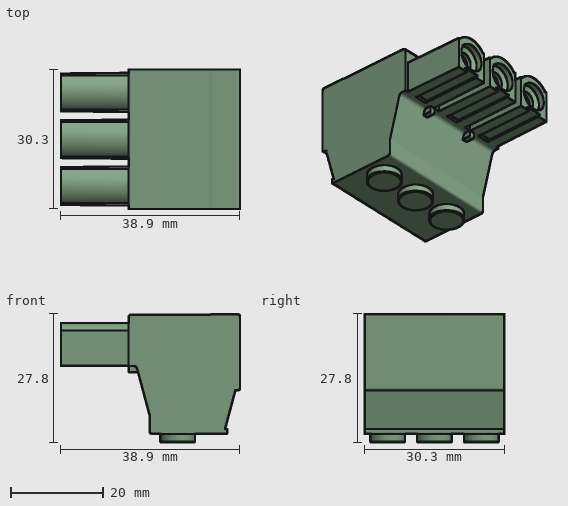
import cadquery as cq
import math


pole_count = 3
pole_pitch = 10.16
end_margin = 5.0
housing_width = (pole_count - 1) * pole_pitch + 2 * end_margin

housing_length = 24.2
housing_height = 26.0
top_step_height = 0.1
top_step_start = 17.65
top_step_end = 18.1
overhang_z = 14.8
foot_front_x = 4.54
foot_knee_z = 4.05
flank_angle = 15.0
rear_ledge_x = 23.2
rear_ledge_z = 9.45
lip_x = 21.45
lip_height = 1.1
corner_radius = 0.6
ledge_radius = 0.5
lip_radius = 0.3
overhang_radius = 0.9

key_offset = 6.4
key_width = 1.3
key_depth = 1.45
key_radius = 0.3

plug_length = 14.7
plug_axis_z = 19.3
plug_crown_radius = 4.83
plug_shoulder_z = 22.4
plug_mouth_half_width = 4.13
plug_root_half_width = 4.28

mouth_radius = 3.24
mouth_depth = 1.4
bore_radius = 1.97
cone_depth = 0.6
bore_depth = 1.0

groove_top_width = 4.0
groove_mouth_width = 3.0
groove_depth = 0.8

screw_radius = 3.8
screw_height = 1.8
screw_chamfer = 0.2
screw_x = 10.65

flank_slope = math.tan(math.radians(flank_angle))
overhang_corner_x = foot_front_x - (overhang_z - foot_knee_z) * flank_slope
pole_positions = [(i - (pole_count - 1) / 2) * pole_pitch for i in range(pole_count)]


def round_edge(body, x, z, radius):
    """Round the edge parallel to Y that passes through (x, z)."""
    tolerance = 0.01
    box = cq.selectors.BoxSelector(
        (x - tolerance, -housing_width, z - tolerance),
        (x + tolerance, housing_width, z + tolerance),
    )
    return body.edges("|Y").edges(box).fillet(radius)


def make_housing():
    """Housing: one side profile extruded over the full width, with rounded corners."""
    low_top_z = housing_height - top_step_height
    notch_x = rear_ledge_x - (rear_ledge_z - lip_height) * flank_slope
    profile = [
        (0, overhang_z),
        (0, low_top_z),
        (top_step_start, low_top_z),
        (top_step_end, housing_height),
        (housing_length, housing_height),
        (housing_length, rear_ledge_z),
        (rear_ledge_x, rear_ledge_z),
        (notch_x, lip_height),
        (lip_x, lip_height),
        (lip_x, 0),
        (foot_front_x, 0),
        (foot_front_x, foot_knee_z),
        (overhang_corner_x, overhang_z),
    ]
    housing = cq.Workplane("XZ").polyline(profile).close().extrude(housing_width / 2, both=True)
    rounded_corners = [
        (0, low_top_z, corner_radius),
        (housing_length, housing_height, corner_radius),
        (housing_length, rear_ledge_z, ledge_radius),
        (lip_x, lip_height, lip_radius),
        (lip_x, 0, lip_radius),
        (foot_front_x, 0, corner_radius),
        (overhang_corner_x, overhang_z, overhang_radius),
    ]
    for x, z, radius in rounded_corners:
        housing = round_edge(housing, x, z, radius)
    return housing


def make_key(y):
    """Small block filling the corner between the overhang and the front flank."""
    bottom_z = overhang_z - key_depth
    bottom_back_x = overhang_corner_x + key_depth * flank_slope
    profile = [
        (0, overhang_z),
        (0, bottom_z),
        (bottom_back_x, bottom_z),
        (overhang_corner_x + overhang_radius, overhang_z),
    ]
    key = cq.Workplane("XZ").polyline(profile).close().extrude(key_width / 2, both=True)
    return round_edge(key, 0, bottom_z, key_radius).translate((0, y, 0))


def make_plug(y):
    """Plug: a block with drafted sides under a round crown, running from the mouth into the housing face."""
    sides = [
        (-plug_length, -plug_mouth_half_width),
        (0, -plug_root_half_width),
        (0, plug_root_half_width),
        (-plug_length, plug_mouth_half_width),
    ]
    block = cq.Workplane("XY").workplane(offset=overhang_z).polyline(sides).close()
    block = block.extrude(plug_shoulder_z - overhang_z)
    crown_half_width = math.sqrt(plug_crown_radius**2 - (plug_shoulder_z - plug_axis_z) ** 2)
    crown = (
        cq.Workplane("YZ", origin=(-plug_length, 0, 0))
        .moveTo(-crown_half_width, plug_shoulder_z)
        .threePointArc((0, plug_axis_z + plug_crown_radius), (crown_half_width, plug_shoulder_z))
        .close()
        .extrude(plug_length)
    )
    return block.union(crown).translate((0, y, 0))


def make_bore(y):
    """Blind bore of a plug: wide mouth, cone, then a narrow bore with a flat floor."""
    cone_start = mouth_depth - plug_length
    cone_end = cone_start + cone_depth
    floor_x = cone_end + bore_depth
    half_section = [
        (-plug_length, 0),
        (-plug_length, mouth_radius),
        (cone_start, mouth_radius),
        (cone_end, bore_radius),
        (floor_x, bore_radius),
        (floor_x, 0),
    ]
    bore = cq.Workplane("XY").polyline(half_section).close().revolve(360, (0, 0, 0), (1, 0, 0))
    return bore.translate((0, y, plug_axis_z))


def make_groove(y):
    """Dovetail groove along the underside of a plug, wider at its ceiling."""
    ceiling_z = overhang_z + groove_depth
    section = [
        (-groove_mouth_width / 2, overhang_z),
        (groove_mouth_width / 2, overhang_z),
        (groove_top_width / 2, ceiling_z),
        (-groove_top_width / 2, ceiling_z),
    ]
    groove = cq.Workplane("YZ", origin=(-plug_length, 0, 0)).polyline(section).close()
    return groove.extrude(plug_length).translate((0, y, 0))


def make_screw_head(y):
    """Round screw head standing below the housing, chamfered at its free end."""
    head = cq.Workplane("XY").center(screw_x, y).circle(screw_radius).extrude(-screw_height)
    return head.faces("<Z").chamfer(screw_chamfer)


result = make_housing()
for key_y in (-key_offset, key_offset):
    result = result.union(make_key(key_y))
for pole_y in pole_positions:
    result = result.union(make_plug(pole_y)).cut(make_bore(pole_y)).cut(make_groove(pole_y))
    result = result.union(make_screw_head(pole_y))